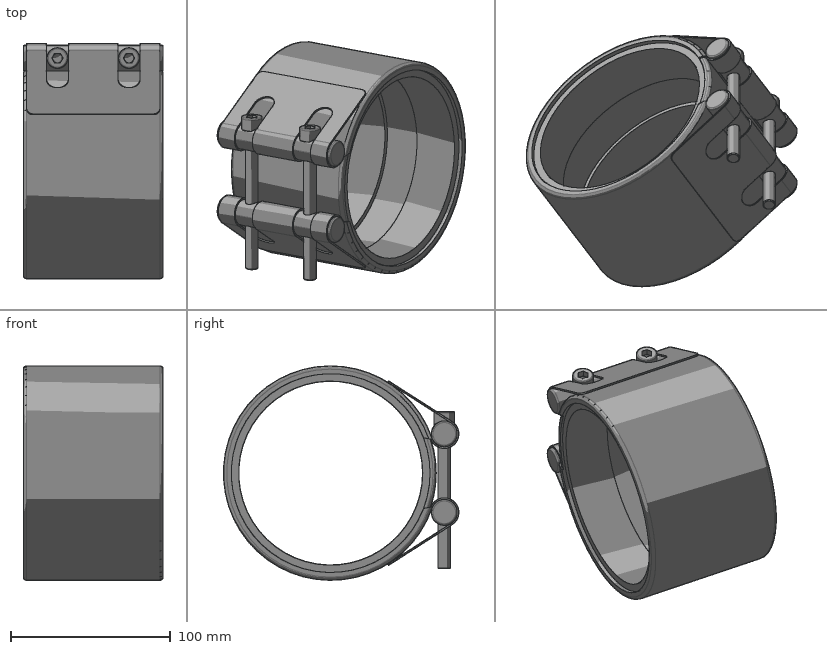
import cadquery as cq
import math


LENGTH = 147.1
HEIGHT = 134.0

WIDTH = 87.4
CASING_RADIUS = HEIGHT / 2
SHEET = 1.0
LIP_RADIUS = 62.1
EDGE_FILLET = 2.0
SEAL_RADIUS = 57.4
SEAL_RECESS = 2.5
GROOVE_RADIUS = 60.0
GROOVE_WIDTH = 24.7
GAP_RIM_Z = 21.0
GAP_LIP_Z = 22.0

PIN_RADIUS = 8.1
PIN_END_FILLET = 1.0
PIN_DISTANCE = CASING_RADIUS + PIN_RADIUS
LOOP_RADIUS = PIN_RADIUS + SHEET
PIN_Y = LENGTH - CASING_RADIUS - LOOP_RADIUS
PIN_Z = math.sqrt(PIN_DISTANCE**2 - PIN_Y**2)
LOOP_WIDTH = WIDTH - 2 * EDGE_FILLET

STRAP_OVERSHOOT = 0.6
STRAP_CORNER = 4.0
SLOT_WIDTH = 13.8
SLOT_LENGTH = 27.8

BOLT_SPACING = 44.7
BOLT_RADIUS = 4.0
BOLT_BOTTOM = -59.7
BOLT_END_CHAMFER = 0.6
HEAD_RADIUS = 6.5
HEAD_HEIGHT = 8.0
HEAD_TOP = 38.4
HEAD_FILLET = 0.7
SOCKET_FLATS = 6.0
SOCKET_DEPTH = 4.0
SOCKET_TIP = 1.8

PIN_ANGLE = math.atan2(PIN_Z, PIN_Y)
RADIUS_STEP = CASING_RADIUS - PIN_RADIUS
STRAP_ANGLE = math.asin(RADIUS_STEP / PIN_DISTANCE) - PIN_ANGLE
STRAP_LENGTH = math.sqrt(PIN_DISTANCE**2 - RADIUS_STEP**2) + STRAP_OVERSHOOT
BOLT_PLACES = (-BOLT_SPACING / 2, BOLT_SPACING / 2)


def ring(inner_radius, outer_radius, width):
    """Ring around the X axis, centred on X = 0."""
    return (
        cq.Workplane("YZ", origin=(-width / 2, 0, 0))
        .circle(outer_radius)
        .circle(inner_radius)
        .extrude(width)
    )


def along_x(radius, width, y, z):
    """Round bar parallel to X, centred on X = 0."""
    return cq.Workplane("YZ", origin=(-width / 2, y, z)).circle(radius).extrude(width)


def steel_ring(outer_radius, width):
    """Sheet steel ring with rounded outer rims and an opening as wide as its lips."""
    rim = along_x(outer_radius, width, 0, 0).edges().fillet(EDGE_FILLET)
    return rim.cut(along_x(LIP_RADIUS, width, 0, 0))


def casing():
    """Outer casing, open between the two pins."""
    reach = 2 * CASING_RADIUS
    rim_y = math.sqrt(CASING_RADIUS**2 - GAP_RIM_Z**2)
    lip_y = math.sqrt(LIP_RADIUS**2 - GAP_LIP_Z**2)
    upper_side = [(0, GAP_LIP_Z), (lip_y, GAP_LIP_Z), (rim_y, GAP_RIM_Z), (reach, GAP_RIM_Z)]
    lower_side = [(y, -z) for y, z in reversed(upper_side)]
    gap = (
        cq.Workplane("YZ", origin=(-WIDTH / 2, 0, 0))
        .polyline(upper_side + lower_side)
        .close()
        .extrude(WIDTH)
    )
    return steel_ring(CASING_RADIUS, WIDTH).cut(gap)


def bridge():
    """Inner steel ring that closes the gap in the casing."""
    return steel_ring(CASING_RADIUS - SHEET, WIDTH - 2 * SHEET)


def seal():
    """Rubber sleeve with a wide groove in the middle of its bore."""
    sleeve = ring(SEAL_RADIUS, CASING_RADIUS - 2 * SHEET, WIDTH - 2 * SEAL_RECESS)
    return sleeve.cut(along_x(GROOVE_RADIUS, GROOVE_WIDTH, 0, 0))


def pin():
    """Upper clamp pin."""
    return along_x(PIN_RADIUS, WIDTH, PIN_Y, PIN_Z).edges().fillet(PIN_END_FILLET)


def loop():
    """Sheet wrapped around the upper pin, from the strap to the casing, with bolt slots."""
    wrap = along_x(LOOP_RADIUS, LOOP_WIDTH, PIN_Y, PIN_Z)
    wrap = wrap.cut(along_x(PIN_RADIUS, LOOP_WIDTH, PIN_Y, PIN_Z))
    start = math.pi / 2 - STRAP_ANGLE
    end = math.pi + PIN_ANGLE
    reach = 2 * LOOP_RADIUS
    bare_sector = [(reach * math.cos(a), reach * math.sin(a)) for a in (start, (start + end) / 2, end)]
    bare = (
        cq.Workplane("YZ", origin=(-LOOP_WIDTH / 2, PIN_Y, PIN_Z))
        .polyline([(0, 0)] + bare_sector)
        .close()
        .extrude(LOOP_WIDTH)
    )
    wrap = wrap.cut(bare)
    for x in BOLT_PLACES:
        wrap = wrap.cut(cq.Workplane().box(SLOT_WIDTH, reach, reach).translate((x, PIN_Y, PIN_Z)))
    return wrap


def strap():
    """Flat sheet from the upper pin loop to the casing, slotted for the bolt heads."""
    normal_y = math.sin(STRAP_ANGLE)
    normal_z = math.cos(STRAP_ANGLE)
    plane = cq.Plane(
        origin=(0, PIN_Y + PIN_RADIUS * normal_y, PIN_Z + PIN_RADIUS * normal_z),
        xDir=(0, -normal_z, normal_y),
        normal=(0, normal_y, normal_z),
    )
    sheet = (
        cq.Workplane(plane)
        .rect(2 * STRAP_LENGTH, LOOP_WIDTH)
        .extrude(SHEET)
        .edges(cq.selectors.ParallelDirSelector(plane.zDir))
        .fillet(STRAP_CORNER)
    )
    pin_side = cq.Workplane(plane).center(-STRAP_LENGTH, 0).rect(2 * STRAP_LENGTH, WIDTH).extrude(SHEET)
    slots = (
        cq.Workplane(plane)
        .pushPoints([(0, x) for x in BOLT_PLACES])
        .slot2D(2 * SLOT_LENGTH, SLOT_WIDTH)
        .extrude(SHEET)
    )
    return sheet.cut(pin_side).cut(slots)


def bolt(x):
    """Socket head bolt through both pins."""
    head_bottom = HEAD_TOP - HEAD_HEIGHT
    shank = (
        cq.Workplane(origin=(x, PIN_Y, BOLT_BOTTOM))
        .circle(BOLT_RADIUS)
        .extrude(head_bottom - BOLT_BOTTOM)
        .faces("<Z")
        .chamfer(BOLT_END_CHAMFER)
    )
    head = (
        cq.Workplane(origin=(x, PIN_Y, head_bottom))
        .circle(HEAD_RADIUS)
        .extrude(HEAD_HEIGHT)
        .faces(">Z")
        .edges()
        .fillet(HEAD_FILLET)
    )
    socket_floor = cq.Vector(x, PIN_Y, HEAD_TOP - SOCKET_DEPTH)
    socket = (
        cq.Workplane(origin=socket_floor.toTuple())
        .polygon(6, SOCKET_FLATS / math.cos(math.pi / 6))
        .extrude(SOCKET_DEPTH)
    )
    tip = cq.Solid.makeCone(SOCKET_FLATS / 2, 0, SOCKET_TIP, socket_floor, cq.Vector(0, 0, -1))
    return shank.union(head).cut(socket).cut(cq.Workplane(tip))


upper_clamp = pin().union(loop()).union(strap())
result = seal().union(bridge()).union(casing())
result = result.union(upper_clamp).union(upper_clamp.mirror("XY"))
for bolt_x in BOLT_PLACES:
    result = result.union(bolt(bolt_x))